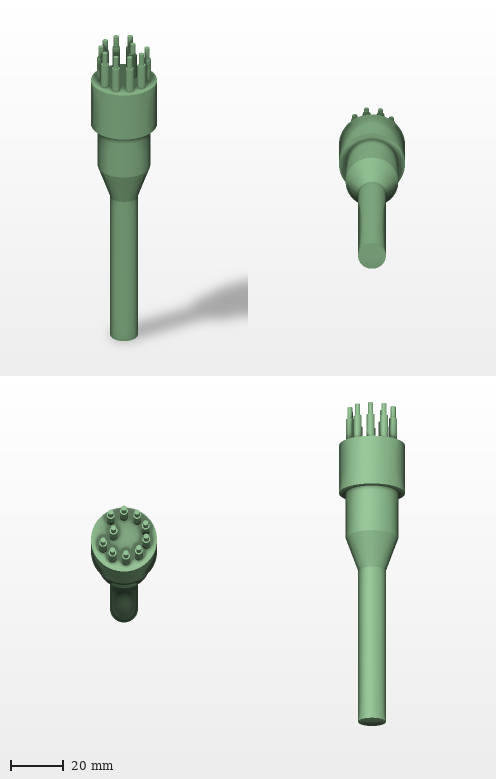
import cadquery as cq
import math

total_height = 124.0
cable_top = 60.0
sleeve_bottom = 73.0
head_bottom = 90.8
pin_length = 14.3
head_top = total_height - pin_length

cable_diameter = 10.5
sleeve_diameter = 20.0
head_diameter = 25.0

shank_diameter = 3.0
tip_diameter = 2.0
tip_length = 4.7
shank_length = pin_length - tip_length

key_pin_offset = 4.1
arc_radius = 8.74
arc_pin_count = 9
arc_pin_step = 35.0
arc_middle_angle = -90.0


def make_body():
    """Cable, tapered strain relief, sleeve and head as one revolved profile."""
    profile = [
        (0, 0),
        (cable_diameter / 2, 0),
        (cable_diameter / 2, cable_top),
        (sleeve_diameter / 2, sleeve_bottom),
        (sleeve_diameter / 2, head_bottom),
        (head_diameter / 2, head_bottom),
        (head_diameter / 2, head_top),
        (0, head_top),
    ]
    return cq.Workplane("XZ").polyline(profile).close().revolve(360, (0, 0), (0, 1))


def pin_positions():
    """Key pin on +Y, then the arc of pins centred on -Y."""
    positions = [(0, key_pin_offset)]
    first_angle = arc_middle_angle - arc_pin_step * (arc_pin_count - 1) / 2
    for index in range(arc_pin_count):
        angle = math.radians(first_angle + index * arc_pin_step)
        positions.append((arc_radius * math.cos(angle), arc_radius * math.sin(angle)))
    return positions


def add_pins(body):
    """Stand every stepped pin on the top face of the head."""
    positions = pin_positions()
    shanks = (
        cq.Workplane("XY", origin=(0, 0, head_top))
        .pushPoints(positions)
        .circle(shank_diameter / 2)
        .extrude(shank_length)
    )
    tips = (
        cq.Workplane("XY", origin=(0, 0, head_top + shank_length))
        .pushPoints(positions)
        .circle(tip_diameter / 2)
        .extrude(tip_length)
    )
    return body.union(shanks).union(tips)


result = add_pins(make_body())